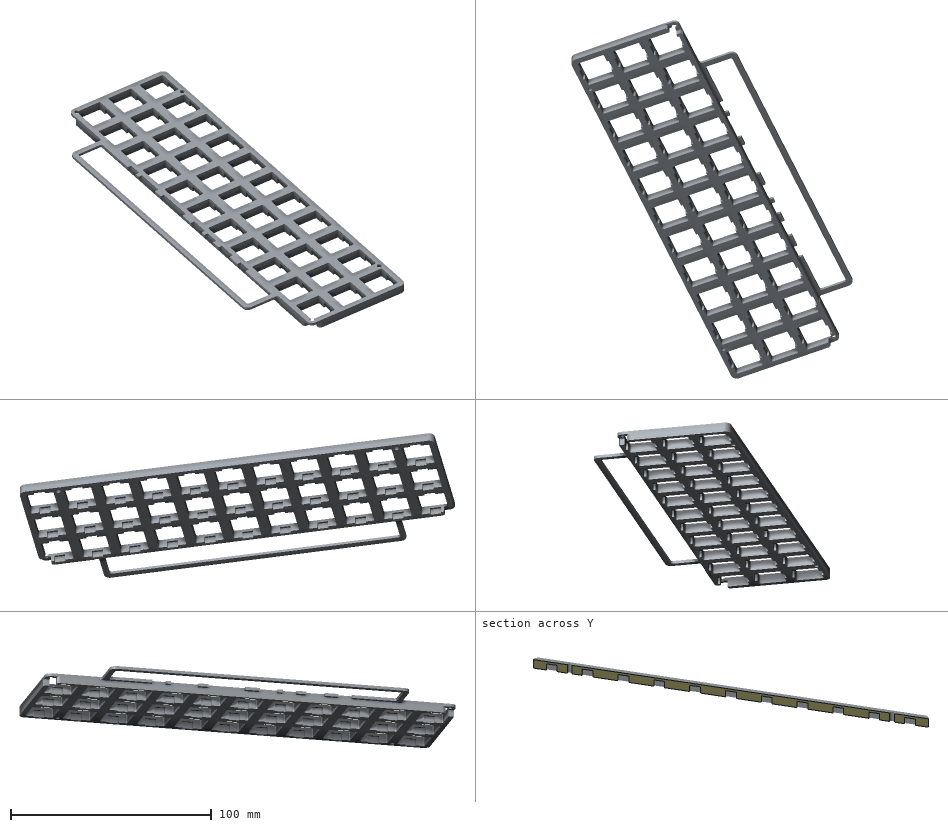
import cadquery as cq

part_length = 210.7
horn_overhang = 0.1
body_length = part_length - 2 * horn_overhang
part_depth = 77.3
part_height = 4.8
plate_thickness = 1.5
block_height = part_height - plate_thickness

columns = 11
rows = 3
opening = 14.1
opening_radius = 0.6
column_span = 190.7
pitch = column_span / (columns - 1)
rim = (body_length - column_span - opening) / 2
body_depth = 58.2
corner_radius = 3.0

clip_width = 5.5
clip_depth = 1.0

frame_length = 153.4
frame_wall = 3.0
frame_radius = 3.0
junction_radius = 1.3
window_radius = 1.0
lip_depth = 2.0
block_setback = 0.2
lip_notches = [
    (-51.2, -44.2),
    (-41.7, -27.5),
    (-22.5, -3.5),
    (3.8, 13.0),
    (15.5, 22.8),
    (27.8, 37.3),
    (44.2, 51.2),
]

screw_diameter = 2.3
relief = 5.5
horn_taper = 1.3
horn_inset = 0.6
reach = relief + horn_taper

key_centres = [
    ((column - (columns - 1) / 2) * pitch, rim + opening / 2 + row * pitch)
    for row in range(rows)
    for column in range(columns)
]


def slab(length, y_front, y_back, z_bottom, z_top):
    """Box centred on X between the given Y and Z limits."""
    box = cq.Workplane("XY").box(length, y_back - y_front, z_top - z_bottom, centered=(True, False, False))
    return box.translate((0, y_front, z_bottom))


def make_plate():
    """Top plate with the space bar frame and its notched lip."""
    body = slab(body_length, 0, body_depth, block_height, part_height).edges("|Z").fillet(corner_radius)
    frame_front = body_depth - part_depth
    frame = slab(frame_length, frame_front, rim, block_height, part_height)
    frame = frame.edges("|Z and <Y").fillet(frame_radius)
    plate = body.union(frame)
    half = frame_length / 2
    margin = junction_radius / 4
    for x in (-half, half):
        junction = cq.selectors.BoxSelector((x - margin, -margin, 0), (x + margin, margin, part_height))
        plate = plate.edges(junction).fillet(junction_radius)
    window_length = frame_length - 2 * frame_wall
    window = slab(window_length, frame_front + frame_wall, -lip_depth, block_height, part_height)
    plate = plate.cut(window.edges("|Z").fillet(window_radius))
    for start, end in lip_notches:
        notch = slab(end - start, -lip_depth, block_setback, block_height, part_height)
        plate = plate.cut(notch.translate(((start + end) / 2, 0, 0)))
    return plate


def make_horns(corner, inward):
    """Tapered ends of the two rim walls beside a corner relief, mirror images across its diagonal."""
    profile = [
        (0, reach),
        (-horn_overhang, reach),
        (horn_inset, relief),
        (rim, relief),
        (rim, reach),
    ]
    side_horn = [(corner + inward * across, along) for across, along in profile]
    front_horn = [(corner + inward * along, across) for across, along in profile]
    horns = cq.Workplane("XY").polyline(side_horn).close().extrude(block_height)
    return horns.union(cq.Workplane("XY").polyline(front_horn).close().extrude(block_height))


def make_block():
    """Thick body under the plate, open at the clip recesses and the two front corners."""
    block = slab(body_length, 0, body_depth, 0, block_height).edges("|Z").fillet(corner_radius)
    recesses = cq.Workplane("XY").pushPoints(key_centres).rect(clip_width, opening + 2 * clip_depth)
    block = block.cut(recesses.extrude(block_height))
    front_step = slab(frame_length + 2 * junction_radius, 0, block_setback, 0, block_height)
    block = block.cut(front_step)
    for side in (-1, 1):
        corner = side * body_length / 2
        block = block.cut(slab(2 * reach, 0, reach, 0, block_height).translate((corner, 0, 0)))
        block = block.union(make_horns(corner, -side))
    return block


def cut_openings(part):
    keys = cq.Workplane("XY").pushPoints(key_centres).rect(opening, opening).extrude(part_height)
    return part.cut(keys.edges("|Z").fillet(opening_radius))


def cut_screw_holes(part):
    front_x = body_length / 2 - rim
    back_x = (columns - 2) / 2 * pitch
    back_y = body_depth - rim
    points = [(-front_x, rim), (front_x, rim), (-back_x, back_y), (back_x, back_y)]
    holes = cq.Workplane("XY").pushPoints(points).circle(screw_diameter / 2).extrude(part_height)
    return part.cut(holes)


result = cut_screw_holes(cut_openings(make_plate().union(make_block())))